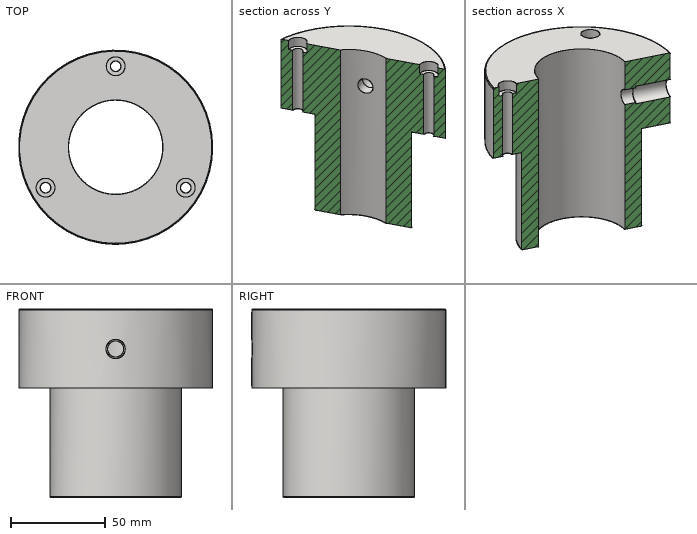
import cadquery as cq

flange_diameter = 103.0
shank_diameter = 70.0
bore_diameter = 50.0
total_height = 100.0
flange_height = 42.0
edge_chamfer = 0.5

screw_count = 3
screw_circle_radius = 43.0
first_screw_angle = 90.0
screw_hole_diameter = 5.5
counterbore_diameter = 10.0
counterbore_depth = 5.5

radial_hole_diameter = 8.5
radial_counterbore_diameter = 10.2
radial_counterbore_depth = 20.0
radial_hole_height = 78.8


def make_body():
    """Stepped cylinder with chamfered end rims and a through bore."""
    shank_height = total_height - flange_height
    shank = cq.Workplane("XY").circle(shank_diameter / 2).extrude(shank_height)
    shank = shank.faces("<Z").edges().chamfer(edge_chamfer)
    flange = (
        cq.Workplane("XY", origin=(0, 0, shank_height))
        .circle(flange_diameter / 2)
        .extrude(flange_height)
        .faces(">Z").edges().chamfer(edge_chamfer)
    )
    bore = cq.Workplane("XY").circle(bore_diameter / 2).extrude(total_height)
    return shank.union(flange).cut(bore)


def cut_screw_holes(body):
    """Counterbored holes evenly spaced on the screw circle, sunk from the top."""
    return (
        body.faces(">Z").workplane(origin=(0, 0, total_height))
        .polarArray(screw_circle_radius, first_screw_angle, 360, screw_count)
        .cboreHole(screw_hole_diameter, counterbore_diameter, counterbore_depth, flange_height)
    )


def make_radial_hole():
    """Cylinder along -Y from the axis, stepping out to a deep counterbore at the flange surface."""
    flange_radius = flange_diameter / 2
    hole_radius = radial_hole_diameter / 2
    counterbore_radius = radial_counterbore_diameter / 2
    profile = [
        (0, 0),
        (hole_radius, 0),
        (hole_radius, -flange_radius + radial_counterbore_depth),
        (counterbore_radius, -flange_radius + radial_counterbore_depth),
        (counterbore_radius, -flange_radius),
        (0, -flange_radius),
    ]
    return (
        cq.Workplane("XY", origin=(0, 0, radial_hole_height))
        .polyline(profile).close()
        .revolve(360, (0, 0, 0), (0, 1, 0))
    )


result = cut_screw_holes(make_body()).cut(make_radial_hole())